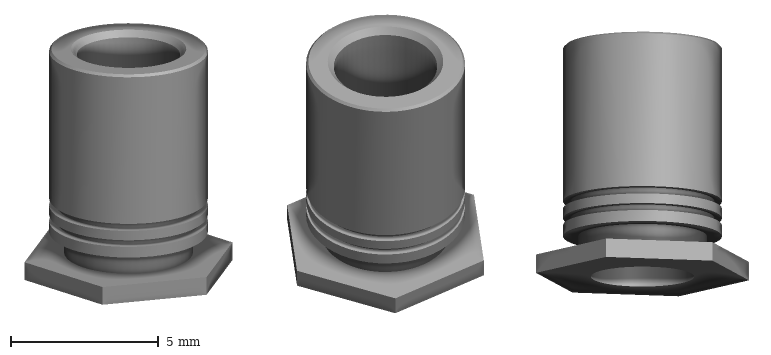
import cadquery as cq
import math

total_height = 7.94
hex_across_flats = 6.35
hex_thickness = 0.635

body_diameter = 5.38
groove_diameter = 4.875
neck_diameter = 4.37
bore_diameter = 3.5

neck_top = 1.39
lower_ring_top = 1.77
lower_groove_top = 2.01
upper_ring_top = 2.34
upper_groove_top = 2.6

rim_chamfer = 0.08
bore_chamfer = 0.21


def cylinder(diameter, bottom, top):
    """Upright cylinder on the Z axis between two heights."""
    return cq.Workplane("XY").workplane(offset=bottom).circle(diameter / 2).extrude(top - bottom)


hex_across_corners = hex_across_flats / math.cos(math.radians(30))
head = cq.Workplane("XY").polygon(6, hex_across_corners).extrude(hex_thickness)

sleeve = cylinder(body_diameter, upper_groove_top, total_height).faces(">Z").edges().chamfer(rim_chamfer)

result = head.union(sleeve)
collar_steps = [
    (neck_diameter, neck_top),
    (body_diameter, lower_ring_top),
    (groove_diameter, lower_groove_top),
    (body_diameter, upper_ring_top),
    (groove_diameter, upper_groove_top),
]
step_bottom = hex_thickness
for step_diameter, step_top in collar_steps:
    result = result.union(cylinder(step_diameter, step_bottom, step_top))
    step_bottom = step_top

bore = cylinder(bore_diameter, 0, total_height)
result = result.cut(bore)
result = result.faces(">Z").edges(cq.selectors.RadiusNthSelector(0)).chamfer(bore_chamfer)